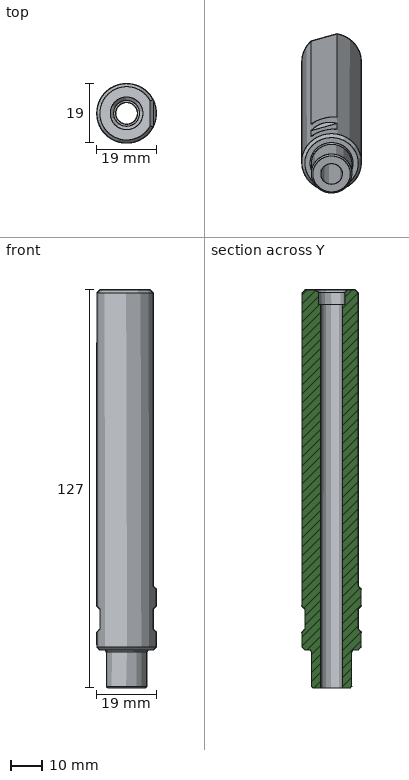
import cadquery as cq

length = 127.0
body_radius = 19.0 / 2
body_chamfer = 1.0

spigot_radius = 13.0 / 2
spigot_length = 12.1
spigot_chamfer = 0.5
collar_radius = 6.9
collar_height = 0.6

flat_offset = 8.5
flat_depth = body_radius - flat_offset
long_flat_bottom = 31.5
wrench_flat_bottom = 18.8
wrench_flat_top = 25.1

bore_radius = 6.9 / 2
counterbore_radius = 8.3 / 2
counterbore_depth = 4.7
countersink_radius = 5.2
countersink_depth = 0.9


def make_shaft():
    """Revolve the body and spigot, with their chamfered ends."""
    collar_bottom = spigot_length - collar_height
    profile = [
        (0, 0),
        (spigot_radius - spigot_chamfer, 0),
        (spigot_radius, spigot_chamfer),
        (spigot_radius, collar_bottom),
        (collar_radius, spigot_length),
        (body_radius - body_chamfer, spigot_length),
        (body_radius, spigot_length + body_chamfer),
        (body_radius, length - body_chamfer),
        (body_radius - body_chamfer, length),
        (0, length),
    ]
    return cq.Workplane("XZ").polyline(profile).close().revolve(360, (0, 0), (0, 1))


def flat_cutter(profile):
    """Extrude an XZ outline across the full width of the body."""
    return cq.Workplane("XZ").polyline(profile).close().extrude(body_radius, both=True)


def make_wrench_flat(side):
    """Recess with 45 degree ends, on the +X (side = 1) or -X (side = -1) face."""
    return flat_cutter([
        (side * flat_offset, wrench_flat_bottom),
        (side * body_radius, wrench_flat_bottom - flat_depth),
        (side * body_radius, wrench_flat_top + flat_depth),
        (side * flat_offset, wrench_flat_top),
    ])


def make_long_flat():
    """Flat on +X with a 45 degree lower end and a chamfer at the top."""
    return flat_cutter([
        (flat_offset, long_flat_bottom + flat_depth),
        (body_radius, long_flat_bottom),
        (body_radius, length),
        (flat_offset - body_chamfer, length),
        (flat_offset, length - body_chamfer),
    ])


def make_hole():
    """Through bore with a counterbore and countersink at the top."""
    counterbore_floor = length - counterbore_depth
    profile = [
        (0, 0),
        (bore_radius, 0),
        (bore_radius, counterbore_floor),
        (counterbore_radius, counterbore_floor),
        (counterbore_radius, length - countersink_depth),
        (countersink_radius, length),
        (0, length),
    ]
    return cq.Workplane("XZ").polyline(profile).close().revolve(360, (0, 0), (0, 1))


result = make_shaft().cut(make_long_flat()).cut(make_hole())
for side in (-1, 1):
    result = result.cut(make_wrench_flat(side))